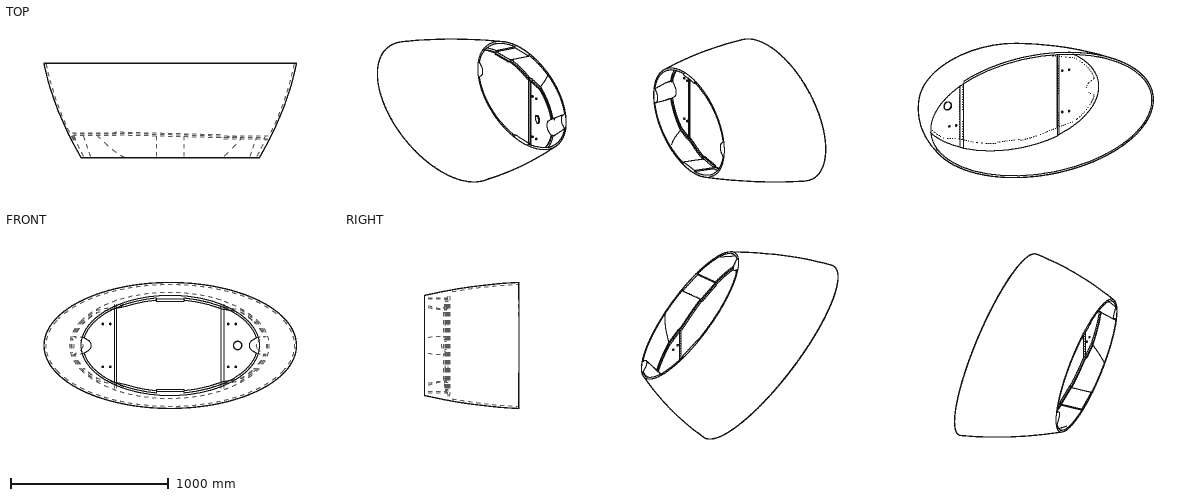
import cadquery as cq
import math

LENGTH = 1600.29
DEPTH = 600.0
WIDTH = 799.78
TOP_Y = DEPTH / 2
BASE_Y = -DEPTH / 2

TOP_RADII = (LENGTH / 2, WIDTH / 2)
MIDDLE_RADII = (712.0, 373.0)
BASE_RADII = (565.0, 318.0)
LIP_HEIGHT = 6.0
LIP_ROUND = 3.0

WALL = 13.0
FLOOR_THICKNESS = 8.0

LEFT_END_DEPTH = 150.0
RIGHT_END_DEPTH = 130.0
MIDDLE_LEFT_DEPTH = 155.0
MIDDLE_RIGHT_DEPTH = 138.0
LEFT_STEP_X = (-354.0, -340.0)
RIGHT_STEP_X = (322.0, 342.0)

RECESS_MOUTH_RADII = (BASE_RADII[0] - WALL, BASE_RADII[1] - WALL)
RECESS_HEIGHT = 160.0
RECESS_TOP_RADII = (638.0, 333.0)
LEDGE_WIDTH = 14.0
LEDGE_HEIGHT = 10.0

LEFT_SIDE_WALL_X = -287.0
RIGHT_SIDE_WALL_X = 332.0
SIDE_WALL_END_X = 490.0
SIDE_WALL_END_Z = 217.0
PAD_HALF_LENGTH = 87.0
PAD_Z = 293.0

LUG_TIP_X = 502.0
LUG_ROOT_X = 560.0
LUG_TIP_HALF_WIDTH = 22.0
LUG_ROOT_HALF_WIDTH = 58.0
LUG_LEAN = 55.0
LUG_TIP_ROUND = 35.0

DRAIN_DIAMETER = 52.0
DRAIN_X = 427.0

MOUNT_DIAMETER = 10.0
MOUNT_GROUP_X = (-403.0, 391.0)
MOUNT_SPACING = 48.0
MOUNT_Z = 136.0
MOUNT_DEPTH = 5.0


def plane_at(y):
    """Sketch plane at height y: local X is part X, local Y is part Z, normal towards -Y."""
    return cq.Workplane(cq.Plane(origin=(0, y, 0), xDir=(1, 0, 0), normal=(0, -1, 0)))


def extrude_up(sketch, height):
    """Extrude a sketch made on plane_at towards +Y."""
    return sketch.extrude(-height)


def loft_ellipses(sections):
    """Loft (straight for two sections, else smooth) through (y, (x radius, z radius)) ellipses."""
    first_y = sections[0][0]
    sketch = plane_at(first_y)
    previous_y = first_y
    for y, radii in sections:
        sketch = sketch.workplane(offset=previous_y - y).ellipse(*radii)
        previous_y = y
    return sketch.loft(ruled=len(sections) == 2)


def shell_radii(y, inset):
    """Radii of the outer shell at height y, drawn in by inset, from a parabola through its sections."""
    t = (TOP_Y - y) / DEPTH
    radii = []
    for top, middle, base in zip(TOP_RADII, MIDDLE_RADII, BASE_RADII):
        blend = top * (1 - t) * (1 - 2 * t) + middle * 4 * t * (1 - t) + base * t * (2 * t - 1)
        radii.append(blend - inset)
    return tuple(radii)


def make_outer_shell():
    """Solid outer body with a short upright lip, rounded on its top edge."""
    lip_y = TOP_Y - LIP_HEIGHT
    body = loft_ellipses([(lip_y, TOP_RADII), (0, MIDDLE_RADII), (BASE_Y, BASE_RADII)])
    lip = extrude_up(plane_at(lip_y).ellipse(*TOP_RADII), LIP_HEIGHT)
    return body.union(lip.faces(">Y").edges().fillet(LIP_ROUND))


def make_space_above(depth_offset):
    """Space above the stepped floor profile, raised by depth_offset, across the whole width."""
    ceiling_y = TOP_Y + LIP_HEIGHT
    base_y = BASE_Y + depth_offset
    return (
        cq.Workplane("XY", origin=(0, 0, -WIDTH / 2))
        .moveTo(-LENGTH / 2, base_y + LEFT_END_DEPTH)
        .lineTo(LEFT_STEP_X[0], base_y + LEFT_END_DEPTH)
        .lineTo(LEFT_STEP_X[1], base_y + MIDDLE_LEFT_DEPTH)
        .lineTo(RIGHT_STEP_X[0], base_y + MIDDLE_RIGHT_DEPTH)
        .lineTo(RIGHT_STEP_X[1], base_y + RIGHT_END_DEPTH)
        .lineTo(LENGTH / 2, base_y + RIGHT_END_DEPTH)
        .lineTo(LENGTH / 2, ceiling_y)
        .lineTo(-LENGTH / 2, ceiling_y)
        .close()
        .extrude(WIDTH)
    )


def make_basin():
    """Bathing space, open at the top and one wall thickness inside the outer shell."""
    bottom_y = BASE_Y + RIGHT_END_DEPTH
    heights = [TOP_Y, (TOP_Y + bottom_y) / 2, bottom_y]
    space = loft_ellipses([(y, shell_radii(y, WALL)) for y in heights])
    return space.intersect(make_space_above(FLOOR_THICKNESS))


def mouth_half_width(x):
    """Half width (Z) of the recess mouth at position x along its length."""
    half_length, half_width = RECESS_MOUTH_RADII
    return half_width * math.sqrt(1 - (x / half_length) ** 2)


def make_side_wall_prism(inset):
    """Upright space between the two long side walls of the recess, drawn in by inset."""
    end_z = SIDE_WALL_END_Z - inset
    left_z = mouth_half_width(LEFT_SIDE_WALL_X) - inset
    middle_z = mouth_half_width(0) - inset
    right_z = mouth_half_width(RIGHT_SIDE_WALL_X) - inset
    half_outline = (
        plane_at(BASE_Y)
        .moveTo(-LENGTH / 2, 0)
        .lineTo(-LENGTH / 2, WIDTH / 2)
        .lineTo(-SIDE_WALL_END_X, WIDTH / 2)
        .lineTo(-SIDE_WALL_END_X, end_z)
        .lineTo(LEFT_SIDE_WALL_X, left_z)
        .threePointArc((0, middle_z), (RIGHT_SIDE_WALL_X, right_z))
        .lineTo(SIDE_WALL_END_X, end_z)
        .lineTo(SIDE_WALL_END_X, WIDTH / 2)
        .lineTo(LENGTH / 2, WIDTH / 2)
        .lineTo(LENGTH / 2, 0)
        .close()
    )
    half_prism = extrude_up(half_outline, RECESS_HEIGHT)
    pad_center_z = PAD_Z - inset + WALL / 2
    pad_outline = plane_at(BASE_Y).center(0, pad_center_z).rect(2 * PAD_HALF_LENGTH, WALL)
    half_prism = half_prism.cut(extrude_up(pad_outline, RECESS_HEIGHT))
    return half_prism.union(half_prism.mirror("XY"))


def make_recess_space(inset, roof_drop):
    """Space inside the recess walls, drawn in by inset and stopping roof_drop short of the floor."""
    top_radii = tuple(radius - inset for radius in RECESS_TOP_RADII)
    mouth_radii = tuple(radius - inset for radius in RECESS_MOUTH_RADII)
    space = loft_ellipses([(BASE_Y + RECESS_HEIGHT, top_radii), (BASE_Y, mouth_radii)])
    space = space.intersect(make_side_wall_prism(inset))
    return space.cut(make_space_above(-roof_drop))


def lug_outline(sketch, side, lean):
    """Trapezoid pointing inwards from one end wall, moved outwards by lean."""
    return sketch.polyline(
        [
            (side * (LUG_TIP_X + lean), LUG_TIP_HALF_WIDTH),
            (side * (LUG_ROOT_X + lean), LUG_ROOT_HALF_WIDTH),
            (side * (LUG_ROOT_X + WALL + lean), LUG_ROOT_HALF_WIDTH),
            (side * (LUG_ROOT_X + WALL + lean), -LUG_ROOT_HALF_WIDTH),
            (side * (LUG_ROOT_X + lean), -LUG_ROOT_HALF_WIDTH),
            (side * (LUG_TIP_X + lean), -LUG_TIP_HALF_WIDTH),
        ]
    ).close()


def make_lug(side):
    """Lug on the end wall, leaning outwards with it towards the floor."""
    sketch = lug_outline(plane_at(BASE_Y), side, 0)
    sketch = lug_outline(sketch.workplane(offset=-RECESS_HEIGHT), side, LUG_LEAN)
    lug = sketch.loft(ruled=True)
    tip_x = side * (LUG_TIP_X + LUG_LEAN / 2)
    tip_y = BASE_Y + RECESS_HEIGHT / 2
    upper_edge = cq.selectors.NearestToPointSelector((tip_x, tip_y, LUG_TIP_HALF_WIDTH))
    lower_edge = cq.selectors.NearestToPointSelector((tip_x, tip_y, -LUG_TIP_HALF_WIDTH))
    return lug.edges(upper_edge + lower_edge).fillet(LUG_TIP_ROUND)


def make_recess():
    """Recess whose walls end in a ledge all round the floor, less the two end lugs."""
    recess = make_recess_space(0, LEDGE_HEIGHT).union(make_recess_space(LEDGE_WIDTH, 0))
    for side in (-1, 1):
        recess = recess.cut(make_lug(side))
    return recess


def make_drain():
    """Drain hole through the lower end of the floor."""
    drain = plane_at(BASE_Y).center(DRAIN_X, 0).circle(DRAIN_DIAMETER / 2)
    return extrude_up(drain, RIGHT_END_DEPTH + FLOOR_THICKNESS)


def make_mounting_holes():
    """Blind holes drilled into the underside of both ends of the floor."""
    holes = cq.Workplane()
    for group_x, floor_depth in zip(MOUNT_GROUP_X, (LEFT_END_DEPTH, RIGHT_END_DEPTH)):
        group = plane_at(BASE_Y + floor_depth).center(group_x, 0)
        group = group.rect(MOUNT_SPACING, 2 * MOUNT_Z, forConstruction=True).vertices()
        holes = holes.add(extrude_up(group.circle(MOUNT_DIAMETER / 2), MOUNT_DEPTH))
    return holes.combine()


bathtub = make_outer_shell()
bathtub = bathtub.cut(make_basin())
bathtub = bathtub.cut(make_recess())
bathtub = bathtub.cut(make_drain())
bathtub = bathtub.cut(make_mounting_holes())
result = bathtub.solids()